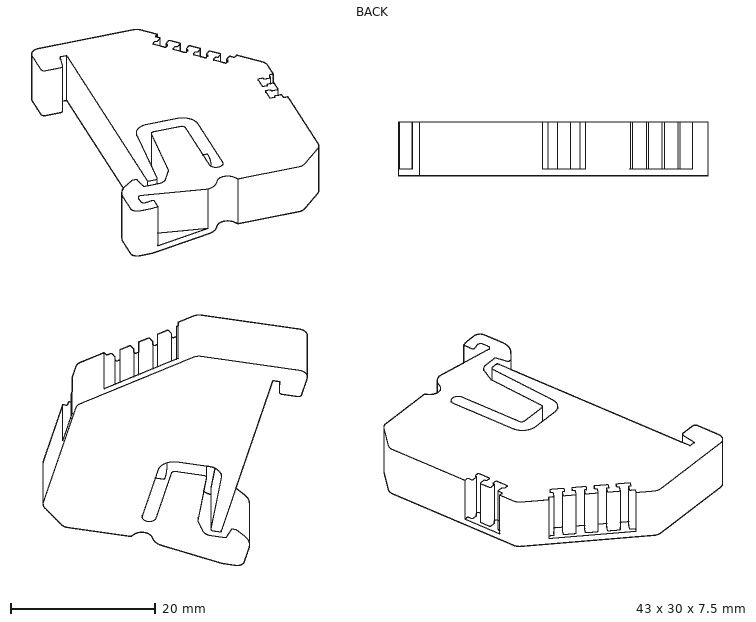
import cadquery as cq
import math

width = 43.0
height = 30.0
thickness = 7.5
web = 0.95

body_right = 40.05
body_bottom = 4.55
tongue_end = 36.4
left_bevel = 14.0
right_bevel = 3.9
outer_radius = 1.5

foot_width = 5.6
foot_root = 3.0
foot_top = 3.55
foot_radius = 0.5
hook_slope = math.radians(10)

slot_left = 22.95
slot_top = 15.95
slot_end = 36.35
slot_gap = 1.95
slot_bend_radius = 2.25
slot_slope = math.radians(5)
slot_floor_at_left = 7.2
arm_left = slot_left + 2.05
arm_floor_at_left = 9.05
arm_break_x = 34.75
arm_break_slope = math.radians(30)
arm_radius = 0.5
arm_end_radius = 1.5
tongue_radius = 0.4

spring_inner = 37.45
spring_hook_top = 3.6
spring_hook_tip = 35.42
spring_tip_y = 2.6
lead_in_angle = math.radians(52)
lead_in_radius = 3.0
hook_tip_radius = 0.15
hook_root_radius = 0.15
heel_radius = 1.0
leg_slope = math.radians(12.4)
leg_foot_y = 2.9
leg_blend_radius = 5.0

waist_y = 14.95
waist_left = 38.8
waist_radius = 1.5
waist_slope = math.radians(30)
shoulder_radius = 2.25

groove_pitch = 3.1
strip_margin = 1.45
strip_depth = 0.65
neck_width = 1.3
neck_depth = 1.7
head_width = 2.0
head_depth = 2.48
groove_radius = 0.15
top_groove_count = 2
bevel_groove_count = 4
bevel_angle = 45
top_strip_x = 20.0
bevel_strip_x = 6.5

pocket_apex_y = 11.8
pocket_floor_y = 1.93
pocket_lip_y = 3.75
pocket_left_slope = math.radians(9.9)
pocket_lip_x = 41.06
pocket_radius = 0.5
pocket_lip_radius = 0.15

pin_diameter = 2.4
pin_x = 29.5


def rounded_outline(corners):
    """Closed sketch through (x, y, radius) corners, each rounded by a tangent arc."""
    stretches = []
    for i, (x, y, radius) in enumerate(corners):
        corner = cq.Vector(x, y)
        before = cq.Vector(*corners[i - 1][:2])
        after = cq.Vector(*corners[(i + 1) % len(corners)][:2])
        to_before = (before - corner).normalized()
        to_after = (after - corner).normalized()
        half_angle = to_before.getAngle(to_after) / 2
        reach = radius / math.tan(half_angle)
        bisector = (to_before + to_after).normalized()
        middle = corner + bisector * (radius / math.sin(half_angle) - radius)
        stretches.append((corner + to_before * reach, middle, corner + to_after * reach, radius))

    sketch = cq.Workplane("XY").moveTo(*stretches[0][2].toTuple()[:2])
    for start, middle, end, radius in stretches[1:] + stretches[:1]:
        sketch = sketch.lineTo(start.x, start.y)
        if radius > 0:
            sketch = sketch.threePointArc((middle.x, middle.y), (end.x, end.y))
    return sketch.close()


def leg_face_x(y):
    """X of the sprung leg's leaning outer face at height y."""
    return width - (y - leg_foot_y) * math.tan(leg_slope)


def slot_floor_y(x):
    return slot_floor_at_left - (x - slot_left) * math.tan(slot_slope)


def arm_floor_y(x):
    return arm_floor_at_left - (x - arm_left) * math.tan(slot_slope)


def body():
    foot_tip_y = foot_top - (foot_width - foot_root) * math.tan(hook_slope)
    arm_end_y = arm_floor_y(arm_break_x) - (spring_inner - arm_break_x) * math.tan(arm_break_slope)
    hook_tip_y = spring_hook_top - (spring_inner - spring_hook_tip) * math.tan(hook_slope)
    lead_in_x = spring_hook_tip + spring_tip_y / math.tan(lead_in_angle)

    waist_rise = math.tan(waist_slope)
    waist_point_x = waist_left + waist_radius - waist_radius / math.sin(waist_slope)
    waist_top_y = waist_y + (body_right - waist_point_x) * waist_rise
    lean = math.tan(leg_slope)
    shoulder_x = (leg_face_x(waist_y) - lean * waist_rise * waist_point_x) / (1 - lean * waist_rise)
    shoulder_y = waist_y - (shoulder_x - waist_point_x) * waist_rise

    slot_bottom = slot_top - slot_gap
    slot_end_radius = slot_gap / 2 - 0.001
    return rounded_outline([
        (0, 0, outer_radius),
        (foot_width, 0, foot_radius),
        (foot_width, foot_tip_y, foot_radius),
        (foot_root, foot_top, 0),
        (foot_root, body_bottom, 0),
        (tongue_end, body_bottom, 0),
        (tongue_end, slot_floor_y(tongue_end), tongue_radius),
        (slot_left, slot_floor_y(slot_left), slot_bend_radius),
        (slot_left, slot_top, slot_bend_radius),
        (slot_end, slot_top, slot_end_radius),
        (slot_end, slot_bottom, slot_end_radius),
        (arm_left, slot_bottom, arm_radius),
        (arm_left, arm_floor_y(arm_left), arm_radius),
        (arm_break_x, arm_floor_y(arm_break_x), 0),
        (spring_inner, arm_end_y, arm_end_radius),
        (spring_inner, spring_hook_top, hook_root_radius),
        (spring_hook_tip, hook_tip_y, hook_tip_radius),
        (spring_hook_tip, spring_tip_y, 2 * hook_tip_radius),
        (lead_in_x, 0, lead_in_radius),
        (width, 0, heel_radius),
        (width, leg_foot_y, leg_blend_radius),
        (shoulder_x, shoulder_y, shoulder_radius),
        (waist_point_x, waist_y, waist_radius),
        (body_right, waist_top_y, 0),
        (body_right, height - right_bevel, outer_radius),
        (body_right - right_bevel, height, outer_radius),
        (left_bevel, height, outer_radius),
        (0, height - left_bevel, outer_radius),
    ]).extrude(thickness)


def label_strip(count):
    """Cutter for a row of T-grooves, centred on the origin and sunk toward -Y."""
    pocket_depth = thickness - web
    length = (count - 1) * groove_pitch + 2 * strip_margin
    cutter = cq.Workplane("XY").rect(length, 2 * strip_depth).extrude(pocket_depth)
    for i in range(count):
        x = (i - (count - 1) / 2) * groove_pitch
        neck = cq.Workplane("XY").center(x, -neck_depth / 2).rect(neck_width, neck_depth)
        head_middle = -(neck_depth + head_depth) / 2
        head = cq.Workplane("XY").center(x, head_middle).rect(head_width, head_depth - neck_depth)
        cutter = cutter.union(neck.extrude(pocket_depth)).union(head.extrude(pocket_depth))
    cutter = cutter.edges("|Z").edges("not >Y").fillet(groove_radius)
    return cutter.translate((0, 0, web))


def screwdriver_pocket():
    apex_x = leg_face_x(pocket_apex_y)
    left_x = apex_x - (pocket_apex_y - pocket_floor_y) * math.tan(pocket_left_slope)
    right_x = pocket_lip_x + (pocket_lip_y - pocket_floor_y) * math.tan(leg_slope)
    clear_x = width + 1
    return rounded_outline([
        (apex_x, pocket_apex_y, 0),
        (left_x, pocket_floor_y, pocket_radius),
        (right_x, pocket_floor_y, pocket_radius),
        (pocket_lip_x, pocket_lip_y, pocket_lip_radius),
        (clear_x, pocket_lip_y, 0),
        (clear_x, pocket_apex_y, 0),
    ]).extrude(thickness - web).translate((0, 0, web))


def slot_pin():
    """Round pin along Y bridging the upper branch of the slot at mid thickness."""
    overlap = 0.5
    length = slot_gap + 2 * overlap
    start = cq.Vector(pin_x, slot_top - slot_gap - overlap, thickness / 2)
    pin = cq.Solid.makeCylinder(pin_diameter / 2, length, start, cq.Vector(0, 1, 0))
    return cq.Workplane(pin)


top_strip = label_strip(top_groove_count).translate((top_strip_x, height, 0))
bevel_strip_y = height - left_bevel + bevel_strip_x
bevel_strip = label_strip(bevel_groove_count).rotate((0, 0, 0), (0, 0, 1), bevel_angle)
bevel_strip = bevel_strip.translate((bevel_strip_x, bevel_strip_y, 0))

result = body().cut(top_strip).cut(bevel_strip).cut(screwdriver_pocket()).union(slot_pin())